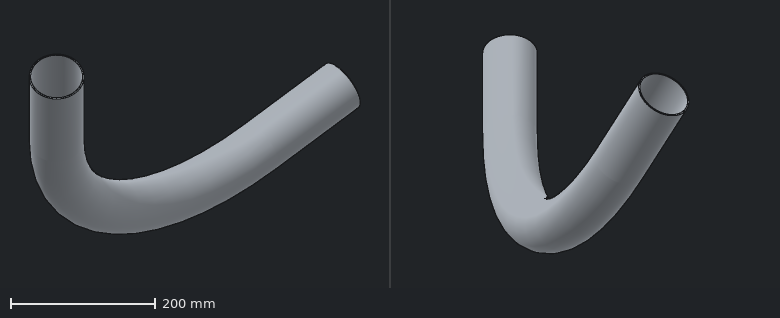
import cadquery as cq
import math

OUTER_DIAMETER = 76.2
INNER_DIAMETER = 71.98
BEND_RADIUS = 381.0
TANGENT_LENGTH = 152.4

centreline_reach = BEND_RADIUS + TANGENT_LENGTH
bend_midpoint = BEND_RADIUS * (1 - math.sqrt(0.5))


def tube_centreline():
    """Down the vertical tangent, around the bend, then out along +Y."""
    return (
        cq.Workplane("YZ")
        .moveTo(0, centreline_reach)
        .lineTo(0, BEND_RADIUS)
        .threePointArc((bend_midpoint, bend_midpoint), (BEND_RADIUS, 0))
        .lineTo(centreline_reach, 0)
    )


def bent_tube():
    """Sweep the annular tube section along the centreline."""
    return (
        cq.Workplane("XY", origin=(0, 0, centreline_reach))
        .circle(OUTER_DIAMETER / 2)
        .circle(INNER_DIAMETER / 2)
        .sweep(tube_centreline())
    )


result = bent_tube()